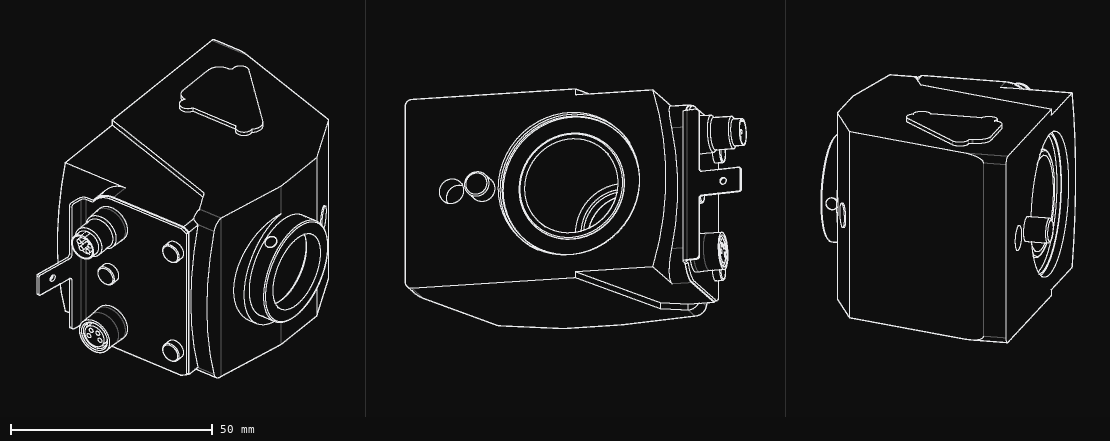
import cadquery as cq
import math


HEIGHT = 48.2
HALF_HEIGHT = HEIGHT / 2
BACK_Y = 42.0
BACK_EDGE_RADIUS = 1.7
HOUSING_LENGTH = 50.4
STRIP_END_X = 46.4
STRIP_FRONT_Y = -25.8
STRIP_RADIUS = 78.45
STRIP_SHOULDER_Y = -19.8
STRIP_SHOULDER_DROP = 2.4
SHAFT_BOSS_RADIUS = 15.7

FLAT_DEPTH = 1.5
FLAT_HALF_HEIGHT = HALF_HEIGHT - FLAT_DEPTH
FLAT_END_X = 39.8
FLAT_EDGE_START = (0, -1.7)
FLAT_EDGE_CORNER = (36.7, -13.6)
FRONT_INSET = 0.9
CUTTER_REACH = 8.4

OUTER_RECESS_RADIUS = 18.1
OUTER_RECESS_DEPTH = 1.85
INNER_RECESS_RADIUS = 17.6
INNER_RECESS_DEPTH = 2.9

CAP_RADIUS = 3.0
CAP_HEIGHT = 0.3

PAD_HEIGHT = 1.0
PAD_BACK_CORNER_RADIUS = 3.55
PAD_CORNER_RADIUS = 2.9
PAD_LOBE_RADIUS = 2.1
PAD_BLEND_RADIUS = 0.7
PAD_LEFT_X = 7.6
PAD_BACK_Y = 31.8
PAD_FRONT_CORNER_Y = 17.8
PAD_RIGHT_CORNER = (29.35, 16.5)
PAD_LOBES = [(14.25, 32.8), (12.0, 13.75), (29.1, 13.75)]
PAD_FRONT_Y = 13.1

BLOCK_FRONT_Y = -26.5
BLOCK_END_X = 41.5
BLOCK_ROUND_RADIUS = 7.2
BLOCK_ROUND_X = 18.4
BLOCK_CORNER_LENGTH = BLOCK_END_X - FLAT_END_X
BLOCK_CORNER_DROP = 0.9
PANEL_THICKNESS = 0.8
PANEL_MARGIN = 0.25
PANEL_FRONT_Y = BLOCK_FRONT_Y - PANEL_THICKNESS
FLANGE_HALF_WIDTH = 19.1
FLANGE_END_Y = -31.1
FLANGE_CORNER_RADIUS = 0.85
BEND_START_X = 10.5
BEND_RADIUS = 1.7
BEND_ANGLE = 80.0
TAB_HALF_WIDTH = 3.0
TAB_END_Y = -42.35
TAB_CHAMFER = 0.3
TAB_HOLE_RADIUS = 0.85
TAB_HOLE_Y = -37.6

SCREW_CENTERS = [(37.8, 15.0), (37.8, -15.0), (18.0, 0)]
SCREW_RADIUS = 2.5
SCREW_HEIGHT = 2.1
SCREW_CHAMFER = 0.25

CONNECTOR_X = 18.4
CONNECTOR_Z = 15.0
CONNECTOR_BASE_RADIUS = 4.8
CONNECTOR_BASE_END_Y = -28.2
CONNECTOR_CONE_RADIUS = 4.6
CONTACT_RADIUS = 0.6
CONTACTS = [(-1.7, 0.5), (1.7, 0.5), (-1.0, -1.35), (1.0, -1.35)]
PLUG_CONE_END_Y = -31.8
PLUG_BARREL_RADIUS = 4.05
PLUG_BARREL_START_Y = -32.4
PLUG_BARREL_END_Y = -37.0
PLUG_TIP_RADIUS = 3.4
PLUG_TIP_START_Y = -37.45
PLUG_END_Y = -39.65
SOCKET_RADIUS = 3.1
SOCKET_DEPTH = 3.4
CONTACT_LENGTH = 2.5
KEY_WIDTH = 1.2
KEY_HEIGHT = 0.3
JACK_CONE_END_Y = -30.8
JACK_END_Y = -34.6
JACK_INSERT_RADIUS = 2.95
JACK_GROOVE_RADIUS = 3.6
JACK_GROOVE_FLARE = 0.3
JACK_GROOVE_DEPTH = 1.7
JACK_CONTACT_DEPTH = 2.5

SHAFT_RADIUS = 13.5
SHAFT_START_X = 2.3
SHAFT_END_X = 55.2
SHAFT_CHAMFER = 0.3
SHAFT_BORE_RADIUS = 12.0
SHAFT_NARROW_RADIUS = 10.0
SHAFT_NARROW_CHAMFER = 0.5
SET_SCREW_RADIUS = 1.5
SET_SCREW_X = 52.2
SET_SCREW_REACH = 13.7
SET_SCREW_DEPTH = 1.3
SET_SCREW_ANGLES = [0, 120]

PIN_RADIUS = 3.1
PIN_Y = 22.1
SPARE_HOLE_Y = 30.1
PIN_HOLE_DEPTH = 6.75
PIN_REACH = 6.1
PIN_CHAMFER = 0.4

BACK_SLOPE_START = (5.8, BACK_Y)
REAR_SLOPE_START = (43.35, 29.9)
REAR_SLOPE_END = (HOUSING_LENGTH, 15.0)


def x_cylinder(radius, start, end, y=0.0, z=0.0):
    """Cylinder along X between two X positions."""
    return cq.Workplane("YZ", origin=(start, y, z)).circle(radius).extrude(end - start)


def y_cylinder(radius, start, end, x, z):
    """Cylinder along -Y, from the start Y down to the end Y."""
    return cq.Workplane("XZ", origin=(x, start, z)).circle(radius).extrude(start - end)


def bulge_y(crest_y, radius, z):
    """Y of a bulged front face at height z."""
    return crest_y + radius - math.sqrt(radius**2 - z**2)


def housing_shell():
    """Plan outline, rounded and bulged by the outline seen along X."""
    plan = (
        cq.Workplane("XY", origin=(0, 0, -HALF_HEIGHT))
        .moveTo(0, BACK_Y)
        .lineTo(*BACK_SLOPE_START)
        .lineTo(*REAR_SLOPE_START)
        .lineTo(*REAR_SLOPE_END)
        .lineTo(HOUSING_LENGTH, 0)
        .lineTo(STRIP_END_X, STRIP_SHOULDER_Y)
        .lineTo(STRIP_END_X, STRIP_FRONT_Y)
        .lineTo(0, STRIP_FRONT_Y)
        .close()
        .extrude(HEIGHT)
    )
    bulge_z = HALF_HEIGHT - STRIP_SHOULDER_DROP
    bulge_end_y = bulge_y(STRIP_FRONT_Y, STRIP_RADIUS, bulge_z)
    section = (
        cq.Workplane("YZ")
        .moveTo(BACK_Y, HALF_HEIGHT)
        .lineTo(BACK_Y, -HALF_HEIGHT)
        .lineTo(STRIP_SHOULDER_Y, -HALF_HEIGHT)
        .tangentArcPoint((bulge_end_y, -bulge_z), relative=False)
        .threePointArc((STRIP_FRONT_Y, 0), (bulge_end_y, bulge_z))
        .tangentArcPoint((STRIP_SHOULDER_Y, HALF_HEIGHT), relative=False)
        .close()
        .extrude(HOUSING_LENGTH)
        .edges("|X and >Y")
        .fillet(BACK_EDGE_RADIUS)
    )
    return plan.intersect(section)


def flat_cutter(side):
    """Material over the lowered flat, above (side = 1) or below (side = -1)."""
    return (
        cq.Workplane("XY", origin=(0, 0, side * FLAT_HALF_HEIGHT))
        .polyline([
            FLAT_EDGE_START,
            FLAT_EDGE_CORNER,
            (FLAT_END_X, STRIP_SHOULDER_Y),
            (FLAT_END_X, STRIP_FRONT_Y - CUTTER_REACH),
            (0, STRIP_FRONT_Y - CUTTER_REACH),
        ])
        .close()
        .extrude(side * CUTTER_REACH)
    )


def front_cutter():
    """Material in front of the inset bulged face beside the connector block."""
    crest_y = STRIP_FRONT_Y + FRONT_INSET
    radius = STRIP_RADIUS - FRONT_INSET
    edge_y = bulge_y(crest_y, radius, HALF_HEIGHT)
    return (
        cq.Workplane("YZ")
        .moveTo(edge_y, -HALF_HEIGHT)
        .threePointArc((crest_y, 0), (edge_y, HALF_HEIGHT))
        .lineTo(crest_y - CUTTER_REACH, HALF_HEIGHT)
        .lineTo(crest_y - CUTTER_REACH, -HALF_HEIGHT)
        .close()
        .extrude(FLAT_END_X)
    )


def rear_cap():
    """Thin disc in the middle of the sloping rear face."""
    run_x = REAR_SLOPE_END[0] - REAR_SLOPE_START[0]
    run_y = REAR_SLOPE_END[1] - REAR_SLOPE_START[1]
    middle = (REAR_SLOPE_START[0] + run_x / 2, REAR_SLOPE_START[1] + run_y / 2, 0)
    plane = cq.Plane(origin=middle, xDir=(0, 0, 1), normal=(-run_y, run_x, 0))
    return cq.Workplane(plane).circle(CAP_RADIUS).extrude(CAP_HEIGHT)


def label_pad():
    """Raised pad with three rounded corners and three screw lobes."""
    back = (PAD_LEFT_X + PAD_BACK_CORNER_RADIUS, PAD_BACK_Y - PAD_BACK_CORNER_RADIUS)
    front = (PAD_LEFT_X + PAD_CORNER_RADIUS, PAD_FRONT_CORNER_Y)
    right = PAD_RIGHT_CORNER
    back_lobe, front_lobe, right_lobe = PAD_LOBES
    diagonal = math.sqrt(0.5)
    core = [
        back,
        (PAD_LEFT_X, back[1]),
        (PAD_LEFT_X, front[1]),
        front,
        (front_lobe[0], PAD_FRONT_Y),
        (right_lobe[0], PAD_FRONT_Y),
        right,
        (right[0] + PAD_CORNER_RADIUS * diagonal, right[1] + PAD_CORNER_RADIUS * diagonal),
        (back_lobe[0] + PAD_LOBE_RADIUS * diagonal, back_lobe[1] + PAD_LOBE_RADIUS * diagonal),
        back_lobe,
        (back_lobe[0], PAD_BACK_Y),
        (back[0], PAD_BACK_Y),
    ]
    base = cq.Workplane("XY", origin=(0, 0, HALF_HEIGHT))
    pad = base.polyline(core).close().extrude(PAD_HEIGHT)
    pad = pad.union(base.pushPoints([back]).circle(PAD_BACK_CORNER_RADIUS).extrude(PAD_HEIGHT))
    pad = pad.union(base.pushPoints([front, right]).circle(PAD_CORNER_RADIUS).extrude(PAD_HEIGHT))
    pad = pad.union(base.pushPoints(PAD_LOBES).circle(PAD_LOBE_RADIUS).extrude(PAD_HEIGHT))
    notch_x = back_lobe[0] - math.sqrt(PAD_LOBE_RADIUS**2 - (back_lobe[1] - PAD_BACK_Y) ** 2)
    notch = (notch_x, PAD_BACK_Y, HALF_HEIGHT + PAD_HEIGHT / 2)
    return pad.edges("|Z").edges(cq.selectors.NearestToPointSelector(notch)).fillet(PAD_BLEND_RADIUS)


def rounded_front(half_height, round_radius, end_x, back_y, front_y):
    """Plate facing -Y with large rounds at its -X end and shallow bevels at its +X end."""
    left_x = BLOCK_ROUND_X - round_radius
    bevel_x = end_x - BLOCK_CORNER_LENGTH
    bevel_z = half_height - BLOCK_CORNER_DROP
    return (
        cq.Workplane("XZ", origin=(0, back_y, 0))
        .polyline([
            (left_x, -half_height),
            (bevel_x, -half_height),
            (end_x, -bevel_z),
            (end_x, bevel_z),
            (bevel_x, half_height),
            (left_x, half_height),
        ])
        .close()
        .extrude(back_y - front_y)
        .edges("|Y and <X")
        .fillet(round_radius)
    )


def connector_block():
    return rounded_front(
        FLAT_HALF_HEIGHT, BLOCK_ROUND_RADIUS, BLOCK_END_X, STRIP_SHOULDER_Y, BLOCK_FRONT_Y
    )


def panel():
    """Sheet panel whose -X edge is bent into a flange with a drilled tab."""
    sheet = rounded_front(
        FLAT_HALF_HEIGHT - PANEL_MARGIN,
        BLOCK_ROUND_RADIUS - PANEL_MARGIN,
        BLOCK_END_X - PANEL_MARGIN,
        BLOCK_FRONT_Y,
        PANEL_FRONT_Y,
    )
    angle = math.radians(BEND_ANGLE)
    along = (-math.cos(angle), -math.sin(angle))
    bend_center_y = BLOCK_FRONT_Y - BEND_RADIUS
    inner_radius = BEND_RADIUS - PANEL_THICKNESS

    def bend_point(radius, turn):
        return (BEND_START_X - radius * math.sin(turn), bend_center_y + radius * math.cos(turn))

    outer_end = bend_point(BEND_RADIUS, angle)
    inner_end = bend_point(inner_radius, angle)
    reach = (inner_end[1] - TAB_END_Y) / math.sin(angle)
    strip = (
        cq.Workplane("XY", origin=(0, 0, -FLANGE_HALF_WIDTH))
        .moveTo(BLOCK_ROUND_X, BLOCK_FRONT_Y)
        .lineTo(BEND_START_X, BLOCK_FRONT_Y)
        .threePointArc(bend_point(BEND_RADIUS, angle / 2), outer_end)
        .lineTo(outer_end[0] + reach * along[0], outer_end[1] + reach * along[1])
        .lineTo(inner_end[0] + reach * along[0], inner_end[1] + reach * along[1])
        .lineTo(*inner_end)
        .threePointArc(bend_point(inner_radius, angle / 2), (BEND_START_X, PANEL_FRONT_Y))
        .lineTo(BLOCK_ROUND_X, PANEL_FRONT_Y)
        .close()
        .extrude(2 * FLANGE_HALF_WIDTH)
    )
    flange = (
        cq.Workplane("YZ")
        .center((BLOCK_FRONT_Y + FLANGE_END_Y) / 2, 0)
        .rect(BLOCK_FRONT_Y - FLANGE_END_Y, 2 * FLANGE_HALF_WIDTH)
        .extrude(BLOCK_ROUND_X)
        .edges("|X and <Y")
        .fillet(FLANGE_CORNER_RADIUS)
    )
    tab = (
        cq.Workplane("YZ")
        .center((BLOCK_FRONT_Y + TAB_END_Y) / 2, 0)
        .rect(BLOCK_FRONT_Y - TAB_END_Y, 2 * TAB_HALF_WIDTH)
        .extrude(BLOCK_ROUND_X)
        .edges("|X and <Y")
        .chamfer(TAB_CHAMFER)
    )
    outline = flange.union(tab)
    for side in (1, -1):
        corner = (BLOCK_ROUND_X / 2, FLANGE_END_Y, side * TAB_HALF_WIDTH)
        selector = cq.selectors.NearestToPointSelector(corner)
        outline = outline.edges("|X").edges(selector).fillet(FLANGE_CORNER_RADIUS)
    bent = strip.intersect(outline).cut(x_cylinder(TAB_HOLE_RADIUS, 0, BLOCK_ROUND_X, TAB_HOLE_Y))
    return sheet.union(bent)


def screw_head(x, z):
    head = y_cylinder(SCREW_RADIUS, PANEL_FRONT_Y, PANEL_FRONT_Y - SCREW_HEIGHT, x, z)
    return head.faces("<Y").chamfer(SCREW_CHAMFER)


def connector_barrel(steps, z):
    """Turned barrel on the panel: a collar, then a cone to the first of the (radius, Y) steps."""
    outline = [
        (0, BLOCK_FRONT_Y),
        (CONNECTOR_BASE_RADIUS, BLOCK_FRONT_Y),
        (CONNECTOR_BASE_RADIUS, CONNECTOR_BASE_END_Y),
        *steps,
        (0, steps[-1][1]),
    ]
    barrel = cq.Workplane("XY").polyline(outline).close().revolve(360, (0, 0, 0), (0, 1, 0))
    return barrel.translate((CONNECTOR_X, 0, z))


def plug_connector():
    """Upper connector: stepped barrel with contact pins in a keyed socket."""
    steps = [
        (CONNECTOR_CONE_RADIUS, PLUG_CONE_END_Y),
        (PLUG_BARREL_RADIUS, PLUG_BARREL_START_Y),
        (PLUG_BARREL_RADIUS, PLUG_BARREL_END_Y),
        (PLUG_TIP_RADIUS, PLUG_TIP_START_Y),
        (PLUG_TIP_RADIUS, PLUG_END_Y),
    ]
    plug = connector_barrel(steps, CONNECTOR_Z)
    floor_y = PLUG_END_Y + SOCKET_DEPTH
    plug = plug.cut(y_cylinder(SOCKET_RADIUS, floor_y, PLUG_END_Y, CONNECTOR_X, CONNECTOR_Z))
    key = (
        cq.Workplane("XZ", origin=(CONNECTOR_X, floor_y, CONNECTOR_Z + SOCKET_RADIUS))
        .rect(KEY_WIDTH, 2 * KEY_HEIGHT)
        .extrude(SOCKET_DEPTH)
        .intersect(y_cylinder(PLUG_TIP_RADIUS, floor_y, PLUG_END_Y, CONNECTOR_X, CONNECTOR_Z))
    )
    plug = plug.union(key)
    for x, z in CONTACTS:
        contact = y_cylinder(
            CONTACT_RADIUS, floor_y, floor_y - CONTACT_LENGTH, CONNECTOR_X + x, CONNECTOR_Z + z
        )
        plug = plug.union(contact)
    return plug


def jack_connector():
    """Lower connector: plain barrel whose insert, ringed by a groove, has contact holes."""
    steps = [(CONNECTOR_CONE_RADIUS, JACK_CONE_END_Y), (CONNECTOR_CONE_RADIUS, JACK_END_Y)]
    jack = connector_barrel(steps, -CONNECTOR_Z)
    groove_floor_y = JACK_END_Y + JACK_GROOVE_DEPTH
    groove = (
        cq.Workplane("XY")
        .polyline([
            (JACK_INSERT_RADIUS, groove_floor_y),
            (JACK_GROOVE_RADIUS, groove_floor_y),
            (JACK_GROOVE_RADIUS, JACK_END_Y + JACK_GROOVE_FLARE),
            (JACK_GROOVE_RADIUS + JACK_GROOVE_FLARE, JACK_END_Y),
            (JACK_INSERT_RADIUS, JACK_END_Y),
        ])
        .close()
        .revolve(360, (0, 0, 0), (0, 1, 0))
        .translate((CONNECTOR_X, 0, -CONNECTOR_Z))
    )
    jack = jack.cut(groove)
    for x, z in CONTACTS:
        hole = y_cylinder(
            CONTACT_RADIUS, JACK_END_Y + JACK_CONTACT_DEPTH, JACK_END_Y, CONNECTOR_X + x, -CONNECTOR_Z - z
        )
        jack = jack.cut(hole)
    return jack


def make_housing():
    body = housing_shell()
    body = body.union(x_cylinder(SHAFT_BOSS_RADIUS, INNER_RECESS_DEPTH, HOUSING_LENGTH))
    body = body.cut(flat_cutter(1)).cut(flat_cutter(-1)).cut(front_cutter())
    body = body.union(connector_block()).union(panel())
    for x, z in SCREW_CENTERS:
        body = body.union(screw_head(x, z))
    body = body.union(plug_connector()).union(jack_connector())
    body = body.union(rear_cap()).union(label_pad())
    body = body.cut(x_cylinder(OUTER_RECESS_RADIUS, 0, OUTER_RECESS_DEPTH))
    body = body.cut(x_cylinder(INNER_RECESS_RADIUS, 0, INNER_RECESS_DEPTH))
    body = body.cut(x_cylinder(SHAFT_RADIUS, 0, HOUSING_LENGTH))
    for hole_y in (PIN_Y, SPARE_HOLE_Y):
        body = body.cut(x_cylinder(PIN_RADIUS, 0, PIN_HOLE_DEPTH, hole_y))
    return body


def make_shaft():
    """Hollow shaft with a narrower bore in its clamping collar and two set screws."""
    shaft = x_cylinder(SHAFT_RADIUS, SHAFT_START_X, SHAFT_END_X).edges().chamfer(SHAFT_CHAMFER)
    for angle in SET_SCREW_ANGLES:
        screw = (
            cq.Workplane("XZ", origin=(SET_SCREW_X, SET_SCREW_REACH, 0))
            .circle(SET_SCREW_RADIUS)
            .extrude(SET_SCREW_DEPTH)
            .rotate((0, 0, 0), (1, 0, 0), angle)
        )
        shaft = shaft.union(screw)
    shaft = shaft.cut(x_cylinder(SHAFT_BORE_RADIUS, SHAFT_START_X, HOUSING_LENGTH))
    narrow = x_cylinder(SHAFT_NARROW_RADIUS, HOUSING_LENGTH, SHAFT_END_X)
    entry = (
        cq.Workplane("YZ", origin=(HOUSING_LENGTH, 0, 0))
        .circle(SHAFT_NARROW_RADIUS + SHAFT_NARROW_CHAMFER)
        .workplane(offset=SHAFT_NARROW_CHAMFER)
        .circle(SHAFT_NARROW_RADIUS)
        .loft()
    )
    return shaft.cut(narrow).cut(entry)


def make_pin():
    pin = x_cylinder(PIN_RADIUS, -PIN_REACH, PIN_HOLE_DEPTH, PIN_Y)
    return pin.faces("<X").chamfer(PIN_CHAMFER)


housing = make_housing()
shaft = make_shaft()
pin = make_pin()
result = cq.Compound.makeCompound([housing.val(), shaft.val(), pin.val()])